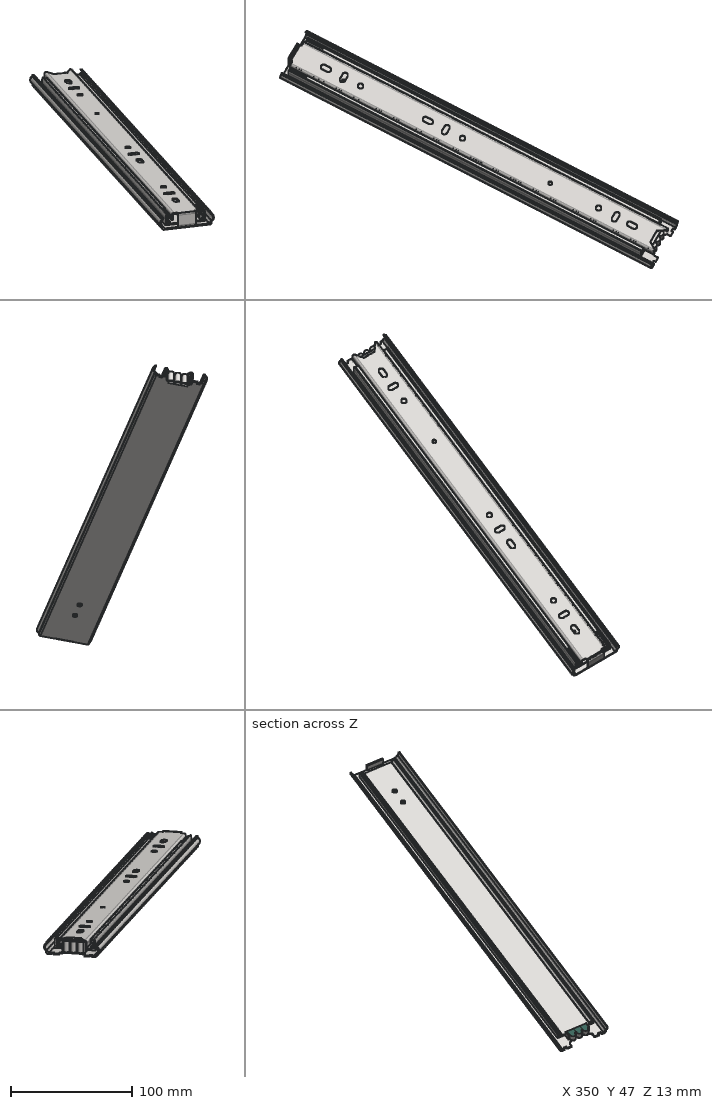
import cadquery as cq
import math


slide_length = 350.0
slide_height = 13.0
slide_width = 47.0
sheet = 1.5
through_cut = 3 * slide_height

outer_end = 349.0
outer_height = 10.5
lip_center_z = 6.13
bulge_half_height = 3.0
bulge_depth = 1.8
outer_wall = 1.0
corner = 1.5
tip_inset = 0.5
tongue_inner_y = 11.0
tongue_outer_y = 15.0
end_notch_depth = 3.5
end_notch_back = 6.0
end_notch_half_width = 8.0
side_notch_outer_y = 17.5
side_notch_depth = 1.8
edge_bevel = 1.0
tab_half_width = 7.7
tab_bottom_overlap = 4.2
tab_thickness = 1.8
tab_bend_radius = 3.0
tab_top_radius = 0.7

middle_start = 12.5
middle_end = 345.0
middle_bottom = 2.0
middle_half_width = 17.0
lip_height = 11.2
lip_inner_y = 12.5
ridge_height = 12.3
ridge_peak_y = 16.5
ridge_bow = 0.18
ridge_bow_z = 11.0
ridge_inner_y = 15.5
ridge_base = 8.5
crimp_start = 329.5
crimp_bend_y = 14.5
crimp_drop = 1.0
lip_thickness = 0.7

inner_start = 3.0
inner_end = 346.0
inner_half_width = 12.3
inner_round = 2.0
inner_bottom = 6.5
plate_tongue_end = 347.5
throat_end = 10.0
throat_half_width = 5.5

hole_pitch = 96.0
slot_length = 9.0
slot_width = 4.5
round_hole = 4.5
small_hole = 3.0
small_hole_x = 107.5
last_round_x = 286.0
last_cross_slot_x = 302.0
last_long_slot_x = 318.5
through_hole = 4.0
through_hole_places = (302.0, 316.0)
round_xs = (62.0, last_round_x - hole_pitch, last_round_x)
cross_slot_xs = (46.0, last_cross_slot_x - hole_pitch, last_cross_slot_x)
long_slot_xs = (30.5, last_long_slot_x - hole_pitch, last_long_slot_x)

bumper_front = 4.2
bumper_step = 7.5
bumper_back = 12.3
bumper_half_width = 9.8
lobe_radius = 2.5
lobe_drop = 0.7
lobe_spacing = 6.0

retainer_thickness = 0.88
retainer_radius = 2.8
retainer_z = 6.5
retainer_half_angle = 90


def half_profile(start):
    """Sketch plane across the slide at X = start, with Y and Z as its axes."""
    return cq.Workplane("YZ", origin=(start, 0, 0))


def with_mirror(half):
    return half.union(half.mirror("XZ"))


def through_holes(body, places, diameter):
    cutter = cq.Workplane("XY").pushPoints([(x, 0) for x in places]).circle(diameter / 2)
    return body.cut(cutter.extrude(through_cut, both=True))


def make_outer_rail():
    peak_y = slide_width / 2
    wall_y = peak_y - bulge_depth
    low_z = lip_center_z - bulge_half_height
    high_z = lip_center_z + bulge_half_height
    half = (
        half_profile(0)
        .moveTo(0, 0)
        .lineTo(wall_y - corner, 0)
        .lineTo(wall_y, corner)
        .lineTo(wall_y, low_z)
        .threePointArc((peak_y, lip_center_z), (wall_y, high_z))
        .lineTo(wall_y - tip_inset, outer_height)
        .lineTo(wall_y - tip_inset - outer_wall, outer_height)
        .lineTo(wall_y - outer_wall, high_z)
        .threePointArc((peak_y - outer_wall, lip_center_z), (wall_y - outer_wall, low_z))
        .lineTo(wall_y - outer_wall - corner, sheet)
        .lineTo(0, sheet)
        .close()
        .extrude(outer_end)
    )
    rail = with_mirror(half)

    end_notch = (
        cq.Workplane("XY")
        .polyline([
            (0, -tongue_inner_y),
            (end_notch_depth, -tongue_inner_y),
            (end_notch_back, -end_notch_half_width),
            (end_notch_back, end_notch_half_width),
            (end_notch_depth, tongue_inner_y),
            (0, tongue_inner_y),
        ])
        .close()
        .extrude(sheet)
    )
    bevel = (
        cq.Workplane("XZ")
        .polyline([(end_notch_back, 0), (end_notch_back + edge_bevel, 0), (end_notch_back, sheet)])
        .close()
        .extrude(end_notch_half_width, both=True)
    )
    side_notches = (
        cq.Workplane("XY")
        .pushPoints([(0, side * (tongue_outer_y + side_notch_outer_y) / 2) for side in (-1, 1)])
        .rect(2 * side_notch_depth, side_notch_outer_y - tongue_outer_y)
        .extrude(sheet)
    )
    tab = (
        cq.Workplane("XZ")
        .polyline([
            (slide_length - tab_bottom_overlap, 0),
            (slide_length, 0),
            (slide_length, slide_height),
            (slide_length - tab_thickness, slide_height),
            (slide_length - tab_thickness, sheet),
            (slide_length - tab_bottom_overlap, sheet),
        ])
        .close()
        .extrude(tab_half_width, both=True)
    )
    tab = tab.faces(">X").edges("<Z").fillet(tab_bend_radius)
    tab = tab.faces(">X").edges(">Z").fillet(tab_top_radius)
    rail = rail.cut(end_notch).cut(bevel).cut(side_notches).union(tab)
    return through_holes(rail, through_hole_places, through_hole)


def middle_half_section(start, end, edge_drop):
    """Stretch of half the middle rail, its lip edge bent down by edge_drop."""
    inner_wall_y = middle_half_width - sheet
    return (
        half_profile(start)
        .moveTo(0, middle_bottom)
        .lineTo(middle_half_width, middle_bottom)
        .lineTo(middle_half_width, ridge_base)
        .threePointArc((middle_half_width - ridge_bow, ridge_bow_z), (ridge_peak_y, ridge_height))
        .lineTo(ridge_inner_y, lip_height)
        .lineTo(crimp_bend_y, lip_height)
        .lineTo(lip_inner_y, lip_height - edge_drop)
        .lineTo(lip_inner_y, lip_height - edge_drop - lip_thickness)
        .lineTo(crimp_bend_y, lip_height - lip_thickness)
        .lineTo(inner_wall_y, lip_height - lip_thickness)
        .lineTo(inner_wall_y, middle_bottom + sheet)
        .lineTo(0, middle_bottom + sheet)
        .close()
        .extrude(end - start)
    )


def make_middle_rail():
    plain_stretch = middle_half_section(middle_start, crimp_start, 0)
    crimped_stretch = middle_half_section(crimp_start, middle_end, crimp_drop)
    rail = with_mirror(plain_stretch.union(crimped_stretch))
    return through_holes(rail, through_hole_places, through_hole)


def plate_slots(places, angle):
    return (
        cq.Workplane("XY")
        .pushPoints([(x, 0) for x in places])
        .slot2D(slot_length, slot_width, angle)
        .extrude(slide_height)
    )


def make_inner_rail():
    under_plate = slide_height - sheet
    flat_half_width = inner_half_width - inner_round
    half = (
        half_profile(inner_start)
        .moveTo(0, slide_height)
        .lineTo(flat_half_width, slide_height)
        .radiusArc((inner_half_width, slide_height - inner_round), inner_round)
        .lineTo(inner_half_width, inner_bottom)
        .lineTo(inner_half_width - sheet, inner_bottom)
        .lineTo(inner_half_width - sheet, under_plate)
        .lineTo(0, under_plate)
        .close()
        .extrude(inner_end - inner_start)
    )
    tongue = (
        cq.Workplane("XY", origin=(inner_end, 0, under_plate))
        .rect(2 * (plate_tongue_end - inner_end), 2 * tab_half_width)
        .extrude(sheet)
    )
    throat = (
        cq.Workplane("XY")
        .polyline([
            (inner_start, -flat_half_width),
            (throat_end, -throat_half_width),
            (throat_end, throat_half_width),
            (inner_start, flat_half_width),
        ])
        .close()
        .extrude(slide_height)
    )
    rail = with_mirror(half).union(tongue).cut(throat)
    rail = rail.cut(plate_slots(long_slot_xs, 0))
    rail = rail.cut(plate_slots(cross_slot_xs, 90))
    rail = through_holes(rail, round_xs, round_hole)
    return through_holes(rail, [small_hole_x], small_hole)


def make_bumper():
    height = slide_height - 2 * sheet
    block = (
        cq.Workplane("XY", origin=((bumper_step + bumper_back) / 2, 0, sheet))
        .rect(bumper_back - bumper_step, 2 * bumper_half_width)
        .extrude(height)
    )
    lobes = (
        cq.Workplane("XY", origin=(bumper_front + lobe_radius, 0, sheet))
        .pushPoints([(0, step * lobe_spacing) for step in (-1, 0, 1)])
        .circle(lobe_radius)
        .extrude(height - lobe_drop)
    )
    return block.union(lobes)


def make_retainer(side):
    """Curved strip against the inside of one wall of the middle rail."""
    center_y = middle_half_width - sheet - retainer_radius
    angle = math.radians(retainer_half_angle)

    def on_arc(radius, turn):
        return (side * (center_y + radius * math.cos(turn)), retainer_z + radius * math.sin(turn))

    inner_radius = retainer_radius - retainer_thickness
    return (
        half_profile(middle_start)
        .moveTo(*on_arc(retainer_radius, -angle))
        .threePointArc(on_arc(retainer_radius, 0), on_arc(retainer_radius, angle))
        .lineTo(*on_arc(inner_radius, angle))
        .threePointArc(on_arc(inner_radius, 0), on_arc(inner_radius, -angle))
        .close()
        .extrude(middle_end - middle_start)
    )


outer_rail = make_outer_rail()
middle_rail = make_middle_rail()
inner_rail = make_inner_rail()
bumper = make_bumper()
retainers = [make_retainer(side) for side in (-1, 1)]

result = cq.Compound.makeCompound([
    outer_rail.val(),
    middle_rail.val(),
    inner_rail.val(),
    bumper.val(),
    *[retainer.val() for retainer in retainers],
])